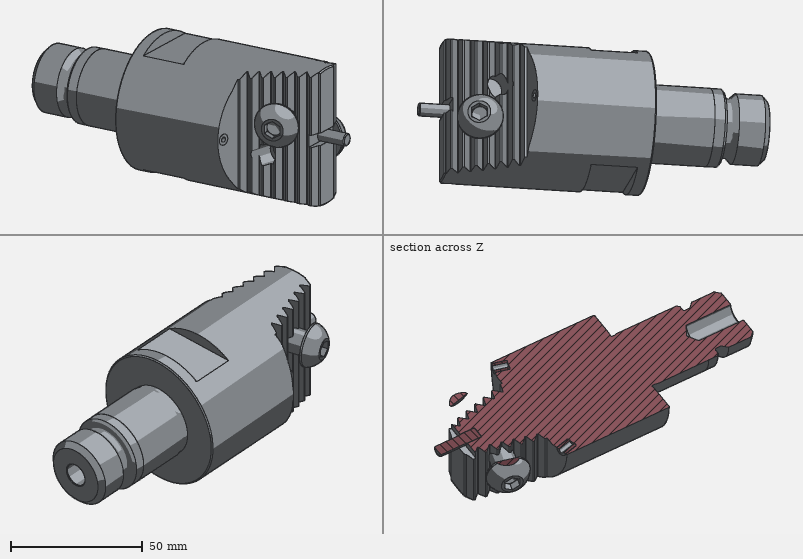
import cadquery as cq
import math


body_radius = 27.5
body_length = 78.0
edge_chamfer = 0.5
flat_start = 5.0
flat_length = 18.0
flat_height = 23.0

shank_length = 47.0
shank_radius = 15.0
lead_in_relief = 0.05
lead_in_end = -25.0
shoulder_x = -30.0
shoulder_chamfer = 1.0
nose_radius = 13.5
nose_chamfer = 2.1
neck_radius = 11.4
neck_taper_x = -34.8
neck_fillet = 0.6
undercut_start = -2.3
undercut_depth = 0.3
undercut_run = 1.1
face_recess_radius = 16.8
face_recess_depth = 0.2

bore_radius = 4.5
bore_depth = 20.0
bore_chamfer = 0.3
bore_tip_depth = bore_radius * math.tan(math.radians(30))

seat_angle = 15.0
seat_cos = math.cos(math.radians(seat_angle))
seat_sin = math.sin(math.radians(seat_angle))
tooth_count = 6
tooth_pitch = 4.73
crest_flat = 0.7
root_flat = 0.35
tooth_flank = math.radians(60)
tooth_height = (tooth_pitch - crest_flat - root_flat) / 2 * math.tan(tooth_flank)
first_root_x = 50.1
first_root_y = 12.65
seat_wall_x = 48.1
wall_bend_y = 20.0
wedge_end_chamfer = 0.5

screw_radius = 5.0
screw_length = 25.0
screw_core_radius = 4.2
screw_head_radius = 8.75
screw_head_height = 6.1
screw_head_rim = 0.8
screw_head_top_radius = 4.35
hex_across_flats = 6.0
hex_depth = 3.0
hex_tip_depth = hex_across_flats / 2 * math.tan(math.radians(30))
screw_head_x = 66.4
screw_head_y = 17.6
screw_offset_z = 7.5

pin_radius = 2.5
pin_start = 69.0
pin_end = 87.0
pin_chamfer = 0.4
slot_floor_x = 75.25

nozzle_radius = 2.2
nozzle_bore_radius = 1.0
nozzle_length = 6.0
nozzle_y = 24.6
sides = (1, -1)


def seat_point(along, height):
    """Point on the +Y seat: distance along it from the first root, and height above the roots."""
    return (
        first_root_x + along * seat_cos + height * seat_sin,
        first_root_y - along * seat_sin + height * seat_cos,
    )


def wall_point(y):
    """Point at y on the leaning part of the wall behind the +Y teeth."""
    return (seat_wall_x - (y - wall_bend_y) * seat_sin / seat_cos, y)


def mirrored_to(side, shape):
    return shape if side > 0 else shape.mirror("XZ")


def placed_screw(side, shape):
    """Shape of the +Y screw, or turned half way round X for the -Y screw."""
    return shape if side > 0 else shape.rotate((0, 0, 0), (1, 0, 0), 180)


def make_seat_cut():
    """Space above the +Y seat, over the full height of the body."""
    outside_y = body_radius + 1
    root_edge = root_flat / 2
    crest_edge = (tooth_pitch - crest_flat) / 2
    wall_foot_y = seat_point(-tooth_pitch / 2, tooth_height)[1]
    points = [
        wall_point(outside_y),
        wall_point(wall_bend_y),
        (seat_wall_x, wall_foot_y),
    ]
    for tooth in range(tooth_count):
        root = tooth * tooth_pitch
        points.append(seat_point(root - crest_edge, tooth_height))
        points.append(seat_point(root - root_edge, 0))
        points.append(seat_point(root + root_edge, 0))
        points.append(seat_point(root + crest_edge, tooth_height))
    end_root = tooth_count * tooth_pitch
    points.append(seat_point(end_root - crest_edge, tooth_height))
    last_x, last_y = seat_point(end_root - root_edge, 0)
    chamfer_x = body_length - wedge_end_chamfer
    chamfer_y = last_y - (chamfer_x - last_x) * seat_sin / seat_cos
    points.append((last_x, last_y))
    points.append((chamfer_x, chamfer_y))
    points.append((body_length, chamfer_y - wedge_end_chamfer))
    points.append((body_length + 1, chamfer_y - wedge_end_chamfer))
    points.append((body_length + 1, outside_y))
    return cq.Workplane("XY").polyline(points).close().extrude(body_radius + 1, both=True)


def screw_plane(distance):
    """Plane square to the +Y screw, at a distance outward from the underside of its head."""
    origin = (screw_head_x + distance * seat_sin, screw_head_y + distance * seat_cos, -screw_offset_z)
    return cq.Plane(origin=origin, xDir=(0, 0, 1), normal=(seat_sin, seat_cos, 0))


def make_screw_hole():
    """Hole filled by the +Y screw, going on as the smaller core hole through the far seat."""
    screw_part = cq.Workplane(screw_plane(-screw_length)).circle(screw_radius).extrude(screw_length)
    core_part = cq.Workplane(screw_plane(0)).circle(screw_core_radius).extrude(-2 * screw_length)
    return screw_part.union(core_part)


def nozzle_plane():
    """Plane of the leaning +Y wall, centred where the nozzle ends."""
    return cq.Plane(
        origin=(*wall_point(nozzle_y), 0),
        xDir=(0, 0, 1),
        normal=(seat_cos, seat_sin, 0),
    )


def make_nozzle_seat():
    """Hole for the +Y nozzle, running out through the wall."""
    seat_start = cq.Workplane(nozzle_plane()).workplane(offset=-nozzle_length)
    return seat_start.circle(nozzle_radius).extrude(nozzle_length + nozzle_radius)


def make_pin():
    pin = cq.Workplane("YZ", origin=(pin_start, 0, 0)).circle(pin_radius).extrude(pin_end - pin_start)
    return pin.faces(">X").chamfer(pin_chamfer)


def make_turned_blank():
    """Shank and body of revolution, with the bore in the shank end."""
    nose_end = -shank_length
    bore_end = nose_end + bore_depth
    neck_start = neck_taper_x + nose_radius - neck_radius
    lead_radius = shank_radius - lead_in_relief
    undercut_radius = shank_radius - undercut_depth
    profile = (
        cq.Workplane("XY")
        .moveTo(bore_end + bore_tip_depth, 0)
        .lineTo(bore_end, bore_radius)
        .lineTo(nose_end + bore_chamfer, bore_radius)
        .lineTo(nose_end, bore_radius + bore_chamfer)
        .lineTo(nose_end, nose_radius - nose_chamfer)
        .lineTo(nose_end + nose_chamfer, nose_radius)
        .lineTo(neck_taper_x, nose_radius)
        .lineTo(neck_start, neck_radius)
        .lineTo(shoulder_x, neck_radius)
        .lineTo(shoulder_x, lead_radius - shoulder_chamfer)
        .lineTo(shoulder_x + shoulder_chamfer, lead_radius)
        .lineTo(lead_in_end, lead_radius)
        .lineTo(lead_in_end, shank_radius)
        .lineTo(undercut_start, shank_radius)
        .lineTo(undercut_start + undercut_run, undercut_radius)
        .lineTo(face_recess_depth, undercut_radius)
        .lineTo(0, face_recess_radius)
        .lineTo(0, body_radius - edge_chamfer)
        .lineTo(edge_chamfer, body_radius)
        .lineTo(body_length - edge_chamfer, body_radius)
        .lineTo(body_length, body_radius - edge_chamfer)
        .lineTo(body_length, 0)
        .close()
    )
    blank = profile.revolve(360, (0, 0, 0), (1, 0, 0))
    reach = neck_radius + neck_fillet / 2
    neck_box = cq.selectors.BoxSelector(
        (neck_start - neck_fillet, -reach, -reach),
        (shoulder_x + neck_fillet, reach, reach),
    )
    return blank.edges("%CIRCLE").edges(neck_box).fillet(neck_fillet)


def make_housing():
    housing = make_turned_blank()
    for side in sides:
        flat_cut = cq.Workplane("XY").box(
            flat_length, 2 * body_radius, body_radius, centered=(False, True, False)
        )
        flat_z = flat_height if side > 0 else -flat_height - body_radius
        housing = housing.cut(flat_cut.translate((flat_start, 0, flat_z)))
        housing = housing.cut(mirrored_to(side, make_seat_cut()))
        housing = housing.cut(mirrored_to(side, make_nozzle_seat()))
    for side in sides:
        housing = housing.cut(placed_screw(side, make_screw_hole()))
    slot = cq.Workplane("XY").box(
        body_length, 2 * body_radius, 2 * pin_radius, centered=(False, True, True)
    )
    housing = housing.cut(slot.translate((slot_floor_x, 0, 0)))
    return housing.cut(make_pin())


def make_screw():
    """The +Y button head screw: shank, domed head and hexagon socket."""
    shank = cq.Workplane(screw_plane(-screw_length)).circle(screw_radius).extrude(screw_length)
    dome_rise = screw_head_height - screw_head_rim
    dome_centre = (
        screw_head_top_radius**2 + screw_head_height**2 - screw_head_radius**2 - screw_head_rim**2
    ) / (2 * dome_rise)
    dome_radius = math.hypot(screw_head_radius, screw_head_rim - dome_centre)
    middle_height = screw_head_rim + dome_rise / 2
    middle_radius = math.sqrt(dome_radius**2 - (middle_height - dome_centre) ** 2)
    base = screw_plane(0)
    head_section = cq.Plane(origin=base.origin, xDir=base.xDir, normal=-base.yDir)
    head = (
        cq.Workplane(head_section)
        .lineTo(screw_head_radius, 0)
        .lineTo(screw_head_radius, screw_head_rim)
        .threePointArc((middle_radius, middle_height), (screw_head_top_radius, screw_head_height))
        .lineTo(0, screw_head_height)
        .close()
        .revolve(360, (0, 0, 0), (0, 1, 0))
    )
    hex_diameter = hex_across_flats / math.cos(math.radians(30))
    socket = cq.Workplane(screw_plane(screw_head_height)).polygon(6, hex_diameter).extrude(-hex_depth)
    socket_floor = screw_plane(screw_head_height - hex_depth)
    socket_tip = cq.Solid.makeCone(
        hex_across_flats / 2, 0, hex_tip_depth, pnt=socket_floor.origin, dir=-socket_floor.zDir
    )
    return shank.union(head).cut(socket).cut(cq.Workplane(socket_tip))


def make_nozzle():
    """The +Y nozzle: a tube square to the wall."""
    section = cq.Workplane(nozzle_plane()).circle(nozzle_radius).circle(nozzle_bore_radius)
    return section.extrude(-nozzle_length)


housing = make_housing()
pin = make_pin()
screws = [placed_screw(side, make_screw()) for side in sides]
nozzles = [mirrored_to(side, make_nozzle()) for side in sides]

bodies = [housing, pin, *screws, *nozzles]
result = cq.Compound.makeCompound([body.val() for body in bodies])